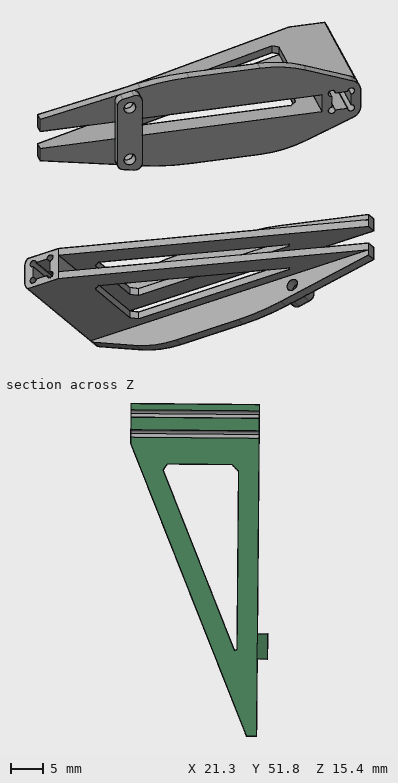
import cadquery as cq
import math

LENGTH = 51.61
WIDTH = 20.0
WALL = 1.6
TILT = 0.5

FLANGE_HALF = 7.7
TAIL_HALF = 3.7
TAIL_SLOPE = 0.2
HEAD_SLOPE = 0.4
TAIL_BLEND = 40.0
HEAD_BLEND = 20.0
HEAD_CORNER = 2.0

BLOCK_HALF = 2.75
SLOT = 3.0
HEAD_FACE = 6.25
HEAD_FACE_START = LENGTH - HEAD_FACE
SOCKET = 3.1
RELIEF_RADIUS = 0.55

WINDOW_RIM = 2 * WALL
WINDOW_TOP = LENGTH - 9.4
WINDOW_CHAMFER = 1.0

BAR_WIDTH = 4.0
BAR_THICKNESS = WALL
BAR_Y = 14.0
BAR_CORNER = 1.1
HOLE_DIAMETER = 1.9
HOLE_Z = 4.6


def flange_prism(x_start, x_end):
    """Flange outline extruded along X, with its corners rounded."""
    tail_bend = (FLANGE_HALF - TAIL_HALF) / TAIL_SLOPE
    head_bend = LENGTH - (FLANGE_HALF - BLOCK_HALF) / HEAD_SLOPE
    upper = [
        (0, TAIL_HALF),
        (tail_bend, FLANGE_HALF),
        (head_bend, FLANGE_HALF),
        (LENGTH, BLOCK_HALF),
    ]
    lower = [(y, -z) for y, z in reversed(upper)]
    prism = (
        cq.Workplane("YZ", origin=(x_start, 0, 0))
        .polyline(upper + lower)
        .close()
        .extrude(x_end - x_start)
    )
    x_middle = (x_start + x_end) / 2
    blends = [
        (tail_bend, FLANGE_HALF, TAIL_BLEND),
        (head_bend, FLANGE_HALF, HEAD_BLEND),
        (LENGTH, BLOCK_HALF, HEAD_CORNER),
    ]
    for y, z, radius in blends:
        for side in (1, -1):
            corner = cq.NearestToPointSelector((x_middle, y, side * z))
            prism = prism.edges("|X").edges(corner).fillet(radius)
    return prism


def screw_holes():
    """Two cutters along X, one through each half of the flange and the bar."""
    return (
        cq.Workplane("YZ", origin=(-WALL, 0, 0))
        .pushPoints([(BAR_Y, HOLE_Z), (BAR_Y, -HOLE_Z)])
        .circle(HOLE_DIAMETER / 2)
        .extrude(WALL + BAR_THICKNESS)
    )


def arms():
    """Triangular block that carries the head and, once slotted, both arms."""
    plan = [
        (0, 0),
        (-WALL, 0),
        (-WIDTH, HEAD_FACE_START),
        (-WIDTH, LENGTH),
        (0, LENGTH),
    ]
    block = cq.Workplane("XY").polyline(plan).close().extrude(BLOCK_HALF, both=True)
    return block.intersect(flange_prism(-WIDTH, 0))


def window():
    """Cutter for the triangular window, parallel to the diagonal edge."""
    run = WIDTH - WALL
    slope = HEAD_FACE_START / run
    rim_along_y = WINDOW_RIM * math.hypot(1, slope)
    right = -WINDOW_RIM
    bottom = slope * (-right - WALL) + rim_along_y
    left = -WALL - (WINDOW_TOP - rim_along_y) / slope
    return (
        cq.Workplane("XY")
        .polyline([(right, bottom), (right, WINDOW_TOP), (left, WINDOW_TOP)])
        .close()
        .extrude(BLOCK_HALF, both=True)
        .edges("|Z")
        .chamfer(WINDOW_CHAMFER)
    )


def slot():
    """Cutter for the gap between the arms, open at the tail."""
    cutter = cq.Workplane("XY").box(WIDTH, HEAD_FACE_START, SLOT, centered=(True, False, True))
    return cutter.translate((-WIDTH / 2, 0, 0))


def socket():
    """Cutter for the rectangular socket through the head, with corner reliefs."""
    plane = cq.Workplane("YZ", origin=(-WIDTH, LENGTH - HEAD_FACE / 2, 0))
    opening = plane.rect(SOCKET, SLOT).extrude(WIDTH)
    corners = plane.rect(SOCKET, SLOT, forConstruction=True).vertices()
    reliefs = corners.circle(RELIEF_RADIUS).extrude(WIDTH)
    return opening.union(reliefs)


def make_bracket():
    """Flange with two slotted, windowed arms and a socketed head."""
    body = flange_prism(-WALL, 0).union(arms())
    return body.cut(window()).cut(slot()).cut(socket()).cut(screw_holes())


def make_bar():
    """Bar across the slot on the flange's outer face, its ends following the flange edge."""
    strip = (
        cq.Workplane("XY", origin=(0, BAR_Y, 0))
        .box(BAR_THICKNESS, BAR_WIDTH, 2 * FLANGE_HALF, centered=(False, True, True))
    )
    bar = strip.intersect(flange_prism(0, BAR_THICKNESS))
    return bar.edges("|X").fillet(BAR_CORNER).cut(screw_holes())


def tilted(body):
    """Turn a body about the Z axis through the tail tip."""
    return body.rotate((0, 0, 0), (0, 0, 1), -TILT)


bracket = tilted(make_bracket())
bar = tilted(make_bar())

result = cq.Compound.makeCompound([bracket.val(), bar.val()])